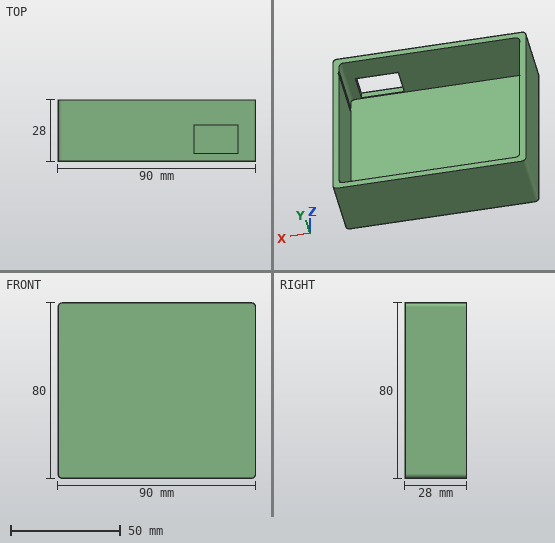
import cadquery as cq

width = 90.0
depth = 28.0
height = 80.0
corner_radius = 2.0
wall = 3.0

window_width = 20.0
window_depth = 13.0
window_right_margin = 8.0
window_front_margin = 3.5

groove_diameter = 2.5
groove_depth = 0.45
groove_below_top = 8.8


def rounded_block(size_x, size_y, size_z, radius):
    """Block centred on the origin, with its four edges along Y rounded."""
    return cq.Workplane("XY").box(size_x, size_y, size_z).edges("|Y").fillet(radius)


def cavity():
    """Interior, open at the back and closed by the front wall."""
    block = rounded_block(width - 2 * wall, depth - wall, height - 2 * wall, corner_radius)
    return block.translate((0, wall / 2, 0))


def window():
    """Rectangular cutter through the top wall only."""
    center_x = (width - window_width) / 2 - window_right_margin
    center_y = (window_depth - depth) / 2 + window_front_margin
    center_z = (height - wall) / 2
    return cq.Workplane("XY").box(window_width, window_depth, wall).translate((center_x, center_y, center_z))


def wall_groove():
    """Cylinder along Y that bites into the right wall, from the front wall to the open back."""
    center_x = width / 2 - wall + groove_depth - groove_diameter / 2
    center_z = height / 2 - groove_below_top
    profile = cq.Workplane("XZ", origin=(center_x, depth / 2, center_z)).circle(groove_diameter / 2)
    return profile.extrude(depth - wall)


body = rounded_block(width, depth, height, corner_radius).cut(cavity())
result = body.cut(window()).cut(wall_groove())